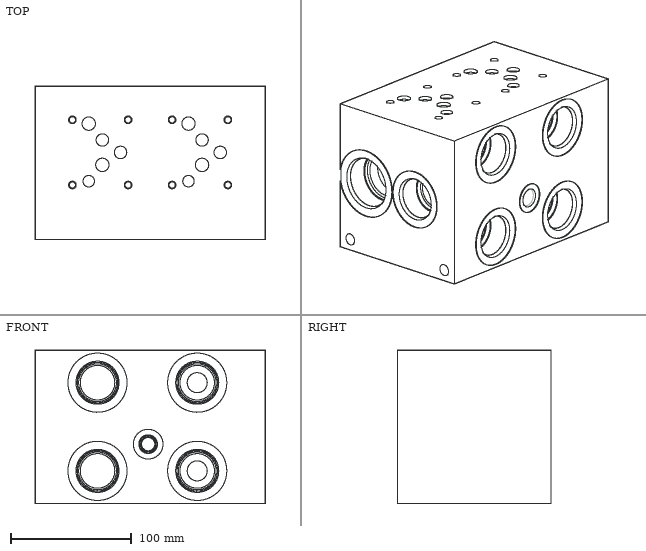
import cadquery as cq
import math

LENGTH = 190.5
WIDTH = LENGTH * 2 / 3
HEIGHT = WIDTH

DRILL_POINT_ANGLE = 118.0
SPOTFACE_DEPTH = 0.8

STATION_PITCH = 82.5
PORT_COLUMN_X = 51.6
PORT_ROW_A_Z = 27.0
PORT_ROW_B_Z = 100.0
GAUGE_PORT_X = 93.5
GAUGE_PORT_Z = 49.1

END_PORT_Z = HEIGHT / 2
PRESSURE_PORT_Y = 44.2
TANK_PORT_Y = 98.5
MOUNT_HOLE_INSET = 11.2
MOUNT_HOLE_Z = 9.5

BOLT_SPACING_X = 46.1
BOLT_SPACING_Y = 54.0
FIRST_BOLT_X = 30.9
FIRST_BOLT_Y = 45.1
PASSAGE_WALL_DEPTH = 2.9

TANK_OFFSET_Y = 23.8
WORK_OFFSET_Y = 10.3
PRESSURE_INSET_X = 6.3
WORK_INSET_X = 21.3
TANK_INSET_X = 32.5

VALVE_PASSAGES = [
    (TANK_INSET_X, TANK_OFFSET_Y, 11.0),
    (WORK_INSET_X, WORK_OFFSET_Y, 10.3),
    (PRESSURE_INSET_X, 0, 10.3),
    (WORK_INSET_X, -WORK_OFFSET_Y, 11.0),
    (TANK_INSET_X, -TANK_OFFSET_Y, 9.5),
]

LARGE_SPOTFACE = 49.0
LARGE_THREAD = [(35.6, 33.7, 4.2), (33.3, 33.3, 20.5), (31.2, 31.2, 24.8)]
TANK_SPOTFACE = 58.0
TANK_THREAD = [(43.6, 41.7, 4.2), (41.3, 41.3, 20.5), (39.2, 39.2, 23.8), (39.2, 35.5, 24.8)]
GAUGE_SPOTFACE = 24.5
GAUGE_THREAD = [(15.5, 14.3, 2.7), (14.3, 14.3, 13.3), (12.4, 12.4, 17.1)]
WORK_DRILL = (28.5, 28.5, 34.3)
PRESSURE_DRILL = (27.0, 27.0, 34.3)
TANK_DRILL = (35.5, 35.5, 34.3)
GAUGE_DRILL = (11.0, 11.0, 21.0)
INNER_PASSAGE_DIAMETER = 16.5
INNER_PASSAGE_LENGTH = 15.2
BOLT_HOLE = [(6.3, 6.3, 15.2), (5.1, 5.1, 19.0)]
MOUNT_HOLE = [(9.5, 9.5, 19.0), (8.0, 8.0, 22.9)]


def point_depth(diameter):
    """Height of the conical drill point of a given diameter."""
    return diameter / 2 / math.tan(math.radians(DRILL_POINT_ANGLE / 2))


def bore(sections):
    """Revolved cutter running down from the origin, ending in a drill point."""
    outline = [(0, 0)]
    depth = 0
    for start_diameter, end_diameter, end_depth in sections:
        if outline[-1] != (start_diameter / 2, -depth):
            outline.append((start_diameter / 2, -depth))
        outline.append((end_diameter / 2, -end_depth))
        depth = end_depth
    outline.append((0, -depth - point_depth(sections[-1][1])))
    return cq.Workplane("XZ").polyline(outline).close().revolve(360, (0, 0), (0, 1))


def port(spotface_diameter, sections):
    """Bore that begins with a shallow spotface."""
    return bore([(spotface_diameter, spotface_diameter, SPOTFACE_DEPTH)] + sections)


def with_inner_passage(sections):
    """Carry on from a drill point with a narrower passage."""
    drill_diameter, depth = sections[-1][1:]
    shoulder_depth = depth + point_depth(drill_diameter) - point_depth(INNER_PASSAGE_DIAMETER)
    shoulder = (drill_diameter, INNER_PASSAGE_DIAMETER, shoulder_depth)
    passage = (INNER_PASSAGE_DIAMETER, INNER_PASSAGE_DIAMETER, shoulder_depth + INNER_PASSAGE_LENGTH)
    return sections + [shoulder, passage]


def on_front(cutter, x, z):
    """Place a cutter on the front face, pointing into the block."""
    return cutter.val().moved(cq.Location(cq.Plane((x, 0, z), (1, 0, 0), (0, -1, 0))))


def on_left(cutter, y, z):
    """Place a cutter on the left face, pointing into the block."""
    return cutter.val().moved(cq.Location(cq.Plane((0, y, z), (0, -1, 0), (-1, 0, 0))))


def on_top(cutter, x, y):
    """Place a cutter on the top face, pointing into the block."""
    return cutter.val().moved(cq.Location(cq.Plane((x, y, HEIGHT), (1, 0, 0), (0, 0, 1))))


def work_ports():
    first_station = LARGE_THREAD + [WORK_DRILL]
    second_station = with_inner_passage(first_station)
    cutters = []
    for station, sections in enumerate([first_station, second_station]):
        x = PORT_COLUMN_X + station * STATION_PITCH
        for z in (PORT_ROW_A_Z, PORT_ROW_B_Z):
            cutters.append(on_front(port(LARGE_SPOTFACE, sections), x, z))
    return cutters


def gauge_port():
    cutter = port(GAUGE_SPOTFACE, GAUGE_THREAD + [GAUGE_DRILL])
    return [on_front(cutter, GAUGE_PORT_X, GAUGE_PORT_Z)]


def end_ports():
    pressure = port(LARGE_SPOTFACE, with_inner_passage(LARGE_THREAD + [PRESSURE_DRILL]))
    tank = port(TANK_SPOTFACE, TANK_THREAD + [TANK_DRILL])
    return [on_left(pressure, PRESSURE_PORT_Y, END_PORT_Z), on_left(tank, TANK_PORT_Y, END_PORT_Z)]


def mounting_holes():
    sides = (MOUNT_HOLE_INSET, WIDTH - MOUNT_HOLE_INSET)
    return [on_left(bore(MOUNT_HOLE), y, MOUNT_HOLE_Z) for y in sides]


def valve_pattern(station):
    """Four tapped bolt holes and five oil passages of one valve station."""
    near_x = FIRST_BOLT_X + station * STATION_PITCH
    far_x = near_x + BOLT_SPACING_X
    centre_y = FIRST_BOLT_Y + BOLT_SPACING_Y / 2
    cutters = []
    for x in (near_x, far_x):
        for y in (FIRST_BOLT_Y, FIRST_BOLT_Y + BOLT_SPACING_Y):
            cutters.append(on_top(bore(BOLT_HOLE), x, y))
    for inset, offset, diameter in VALVE_PASSAGES:
        cutter = bore([(diameter, diameter, PASSAGE_WALL_DEPTH)])
        cutters.append(on_top(cutter, far_x - inset, centre_y + offset))
    return cutters


cutters = work_ports() + gauge_port() + end_ports() + mounting_holes()
cutters += valve_pattern(0) + valve_pattern(1)

result = cq.Workplane("XY").box(LENGTH, WIDTH, HEIGHT, centered=False)
for cutter in cutters:
    result = result.cut(cq.Workplane(cutter))